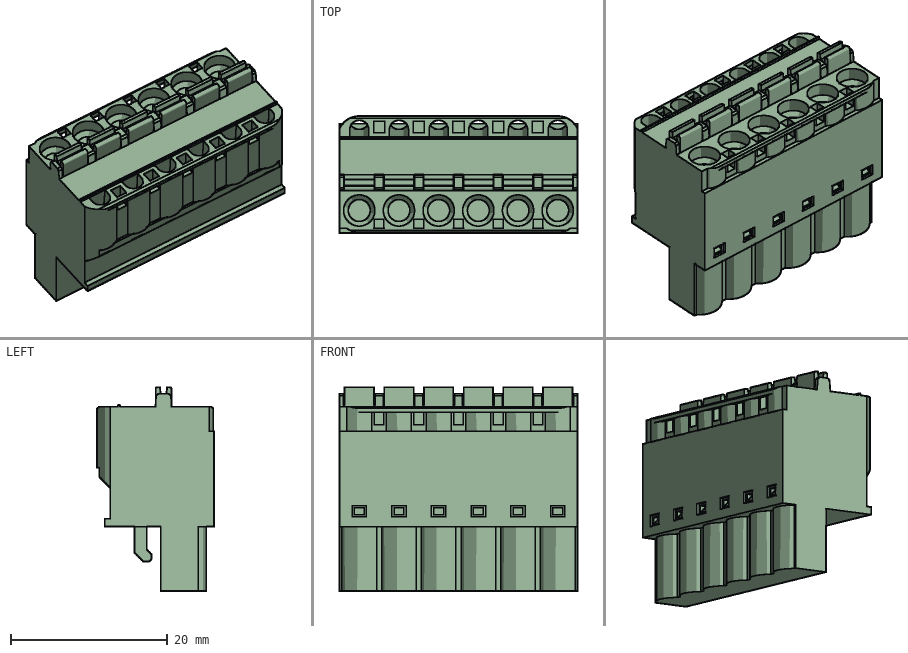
import cadquery as cq
import math


POLE_COUNT = 6
PITCH = 5.08
LENGTH = POLE_COUNT * PITCH
POLE_X = [PITCH * (i + 0.5) for i in range(POLE_COUNT)]
GAP_X = [PITCH * i for i in range(1, POLE_COUNT)]

DEPTH = 15.0
BODY_BOTTOM = 8.25
BODY_TOP = 23.6
BODY_BACK = 13.3

LEDGE_BACK = 14.0
LEDGE_TOP = 9.25

BULGE_BACK = 14.7
BULGE_PLATE_BOTTOM = 15.75
BULGE_SLOPE_TOP = 14.6
BULGE_TOP_CHAMFER = 0.3
BULGE_REACH = DEPTH - BODY_BACK
BULGE_END_RADIUS = (POLE_X[0] ** 2 + BULGE_REACH**2) / (2 * BULGE_REACH)
ARC_MIDDLE_ANGLE = math.asin(POLE_X[0] / BULGE_END_RADIUS) / 2

RIDGE_FRONT = 12.0
RIDGE_BACK = 12.35
RIDGE_HEIGHT = 0.25
RIDGE_CREST_INSET = 0.1

WIRE_RADIUS = 1.23
WIRE_CENTER_Y = 13.2
WIRE_EXIT_SHIFT = 2.2
WIRE_EXIT_Z = BULGE_SLOPE_TOP - (BULGE_BACK - BODY_BACK)

SCREW_DIAMETER = 4.0
SCREW_FLOOR_DIAMETER = 2.8
SCREW_CENTER_Y = 2.9
SCREW_STRAIGHT_DEPTH = 1.7
SCREW_CONE_DEPTH = (SCREW_DIAMETER - SCREW_FLOOR_DIAMETER) / 2

RECESS_DEPTH = 0.6
RECESS_BOTTOM = 20.45
WALL_RADIUS = 2.8
WALL_FRONT = SCREW_CENTER_Y - WALL_RADIUS

BAR_BOTTOM = 22.85
BAR_CHAMFER_Y = 0.28
BAR_CHAMFER_Z = 0.22

POCKET_FLOOR = 21.3
FRONT_POCKET_SIDE = 1.25
FRONT_POCKET_Y = 0.55
REAR_POCKET_SIDE = 1.42
REAR_POCKET_Y = 12.87

WINDOW_Z = 10.2
WINDOW_WIDTH = 1.83
WINDOW_HEIGHT = 1.45
WINDOW_DEPTH = 0.35
WEDGE_WIDTH = 1.25
WEDGE_HEIGHT = 0.9

RAIL_FRONT = 5.45
RAIL_BACK = 7.5
RAIL_MIDDLE = (RAIL_FRONT + RAIL_BACK) / 2
RAIL_TOP = 26.1
TAB_WIDTH = 3.8
TAB_FILLET = 0.28
SLOT_TOP_WIDTH = 0.9
SLOT_FLOOR_WIDTH = 0.7
SPACER_WIDTH = 1.08
SPACER_TOP = 25.25
SPACER_SHOULDER = 25.0
SPACER_FOOT_WIDTH = 2.1
SPACER_SHOULDER_WIDTH = 1.85
SPACER_TOP_WIDTH = 1.3

SKIRT_FRONT = 2.0
SKIRT_BACK = 6.85
SLEEVE_FRONT = 1.0
SLEEVE_WIDTH = 4.42

LATCH_START = PITCH
LATCH_END = LENGTH - PITCH
LATCH_BACK = 10.2
LATCH_FRONT = 8.6
LATCH_TIP_FRONT = 8.0
LATCH_TIP_BOTTOM = 3.75
LATCH_TIP_RADIUS = 0.5
LATCH_BEND_Z = 4.9
LATCH_HOOK_Z = 5.3


def box(x0, x1, y0, y1, z0, z1):
    """Box between two opposite corners."""
    return cq.Workplane("XY").box(x1 - x0, y1 - y0, z1 - z0, centered=False).translate((x0, y0, z0))


def side_profile(x0, x1, points):
    """Closed (Y, Z) outline extruded from x0 to x1."""
    return cq.Workplane("YZ", origin=(x0, 0, 0)).polyline(points).close().extrude(x1 - x0)


def cylinder(x, y, radius, z0, z1):
    return cq.Workplane("XY", origin=(x, y, z0)).circle(radius).extrude(z1 - z0)


def housing():
    body = box(0, LENGTH, 0, BODY_BACK, BODY_BOTTOM, BODY_TOP)
    ledge = box(0, LENGTH, 0, LEDGE_BACK, BODY_BOTTOM, LEDGE_TOP)
    return body.union(ledge)


def wire_bulge():
    """Plate with rounded ends, stepped and sloped below and chamfered along its top."""
    end_x = POLE_X[0]
    center_y = DEPTH - BULGE_END_RADIUS
    middle_x = BULGE_END_RADIUS * math.sin(ARC_MIDDLE_ANGLE)
    middle_y = center_y + BULGE_END_RADIUS * math.cos(ARC_MIDDLE_ANGLE)
    front = RIDGE_BACK
    plan = (
        cq.Workplane("XY", origin=(0, 0, WIRE_EXIT_Z))
        .moveTo(0, front)
        .lineTo(0, BODY_BACK)
        .threePointArc((end_x - middle_x, middle_y), (end_x, DEPTH))
        .lineTo(LENGTH - end_x, DEPTH)
        .threePointArc((LENGTH - end_x + middle_x, middle_y), (LENGTH, BODY_BACK))
        .lineTo(LENGTH, front)
        .close()
        .extrude(BODY_TOP - WIRE_EXIT_Z)
    )
    section = side_profile(
        0,
        LENGTH,
        [
            (front, WIRE_EXIT_Z),
            (BODY_BACK, WIRE_EXIT_Z),
            (BULGE_BACK, BULGE_SLOPE_TOP),
            (BULGE_BACK, BULGE_PLATE_BOTTOM),
            (DEPTH, BULGE_PLATE_BOTTOM),
            (DEPTH, BODY_TOP - BULGE_TOP_CHAMFER),
            (DEPTH - BULGE_TOP_CHAMFER, BODY_TOP),
            (front, BODY_TOP),
        ],
    )
    return plan.intersect(section)


def ridge():
    return side_profile(
        0,
        LENGTH,
        [
            (RIDGE_FRONT, BODY_TOP),
            (RIDGE_FRONT + RIDGE_CREST_INSET, BODY_TOP + RIDGE_HEIGHT),
            (RIDGE_BACK - RIDGE_CREST_INSET, BODY_TOP + RIDGE_HEIGHT),
            (RIDGE_BACK, BODY_TOP),
        ],
    )


def wire_entry(x):
    """Hole with an upright rear wall and a trough-shaped front wall leaning back to the exit."""
    height = BODY_TOP - WIRE_EXIT_Z
    upright = cylinder(x, WIRE_CENTER_Y, WIRE_RADIUS, WIRE_EXIT_Z, BODY_TOP).union(
        box(x - WIRE_RADIUS, x + WIRE_RADIUS, RIDGE_BACK, WIRE_CENTER_Y, WIRE_EXIT_Z, BODY_TOP)
    )
    upright = upright.intersect(
        box(x - PITCH, x + PITCH, RIDGE_BACK, DEPTH, WIRE_EXIT_Z, BODY_TOP)
    )
    lean = math.degrees(math.atan2(WIRE_EXIT_SHIFT, height))
    reach = height + DEPTH
    trough = cylinder(0, 0, WIRE_RADIUS, -reach, reach).union(
        box(-WIRE_RADIUS, WIRE_RADIUS, 0, DEPTH, -reach, reach)
    )
    trough = trough.rotate((0, 0, 0), (1, 0, 0), lean).translate((x, RIDGE_BACK, BODY_TOP))
    return upright.intersect(trough)


def screw_hole(x):
    """Round hole closed by a conical seat with a flat floor."""
    bottom = SCREW_STRAIGHT_DEPTH + SCREW_CONE_DEPTH
    return (
        cq.Workplane("XZ")
        .polyline(
            [
                (0, 0),
                (SCREW_DIAMETER / 2, 0),
                (SCREW_DIAMETER / 2, -SCREW_STRAIGHT_DEPTH),
                (SCREW_FLOOR_DIAMETER / 2, -bottom),
                (0, -bottom),
            ]
        )
        .close()
        .revolve(360, (0, 0, 0), (0, 1, 0))
        .translate((x, SCREW_CENTER_Y, BODY_TOP))
    )


def front_recess():
    """Material removed between the front face and the round walls and bar."""
    recess = box(0, LENGTH, 0, RECESS_DEPTH, RECESS_BOTTOM, BODY_TOP)
    for x in POLE_X:
        recess = recess.cut(cylinder(x, SCREW_CENTER_Y, WALL_RADIUS, RECESS_BOTTOM, BODY_TOP))
    recess = recess.cut(box(POLE_X[0], POLE_X[-1], WALL_FRONT, RECESS_DEPTH, BAR_BOTTOM, BODY_TOP))
    chamfer = side_profile(
        0,
        LENGTH,
        [
            (WALL_FRONT, BODY_TOP - BAR_CHAMFER_Z),
            (WALL_FRONT + BAR_CHAMFER_Y, BODY_TOP),
            (WALL_FRONT, BODY_TOP),
        ],
    )
    return recess.union(chamfer)


def rear_recess():
    """Material removed between round walls behind the wire entries, below the top rim."""
    center_y = DEPTH - BULGE_END_RADIUS
    back_wall = DEPTH - RECESS_DEPTH
    recess = box(POLE_X[0], POLE_X[-1], back_wall, DEPTH, BULGE_PLATE_BOTTOM, BAR_BOTTOM)
    for x in POLE_X:
        recess = recess.cut(cylinder(x, center_y, BULGE_END_RADIUS, BULGE_PLATE_BOTTOM, BAR_BOTTOM))
    return recess


def front_pocket(x):
    half = FRONT_POCKET_SIDE / 2
    back = FRONT_POCKET_Y + FRONT_POCKET_SIDE
    return box(x - half, x + half, RECESS_DEPTH, back, POCKET_FLOOR, BODY_TOP)


def rear_pocket(x):
    """Square pocket that also opens through the back below the rim."""
    half = REAR_POCKET_SIDE / 2
    back = REAR_POCKET_Y + REAR_POCKET_SIDE
    well = box(x - half, x + half, REAR_POCKET_Y, back, POCKET_FLOOR, BODY_TOP)
    opening = box(x - half, x + half, REAR_POCKET_Y, DEPTH, POCKET_FLOOR, BAR_BOTTOM)
    return well.union(opening)


def test_window(x):
    """Shallow rectangle with a smaller wedge-shaped pocket sloping up behind it."""
    half = WINDOW_WIDTH / 2
    bottom = WINDOW_Z - WINDOW_HEIGHT / 2
    frame = box(x - half, x + half, 0, WINDOW_DEPTH, bottom, bottom + WINDOW_HEIGHT)
    wedge_bottom = WINDOW_Z - WEDGE_HEIGHT / 2
    wedge_top = wedge_bottom + WEDGE_HEIGHT
    wedge = side_profile(
        x - WEDGE_WIDTH / 2,
        x + WEDGE_WIDTH / 2,
        [
            (0, wedge_bottom),
            (WINDOW_DEPTH, wedge_bottom),
            (WINDOW_DEPTH + WEDGE_HEIGHT, wedge_top),
            (0, wedge_top),
        ],
    )
    return frame.union(wedge)


def marker_tab(x):
    """Pair of upright fins with a tapered slot between them."""
    slot_top = SLOT_TOP_WIDTH / 2
    slot_floor = SLOT_FLOOR_WIDTH / 2
    tab = side_profile(
        x - TAB_WIDTH / 2,
        x + TAB_WIDTH / 2,
        [
            (RAIL_FRONT, BODY_TOP),
            (RAIL_FRONT, RAIL_TOP),
            (RAIL_MIDDLE - slot_top, RAIL_TOP),
            (RAIL_MIDDLE - slot_floor, SPACER_TOP),
            (RAIL_MIDDLE + slot_floor, SPACER_TOP),
            (RAIL_MIDDLE + slot_top, RAIL_TOP),
            (RAIL_BACK, RAIL_TOP),
            (RAIL_BACK, BODY_TOP),
        ],
    )
    front_edge = tab.faces("<Y").edges(">Z")
    back_edge = tab.faces(">Y").edges(">Z")
    return front_edge.add(back_edge).fillet(TAB_FILLET)


def rail_spacer(x0, x1):
    """Lower rail piece between tabs, with sloped sides and chamfered shoulders."""
    foot = SPACER_FOOT_WIDTH / 2
    shoulder = SPACER_SHOULDER_WIDTH / 2
    top = SPACER_TOP_WIDTH / 2
    return side_profile(
        x0,
        x1,
        [
            (RAIL_MIDDLE - foot, BODY_TOP),
            (RAIL_MIDDLE - shoulder, SPACER_SHOULDER),
            (RAIL_MIDDLE - top, SPACER_TOP),
            (RAIL_MIDDLE + top, SPACER_TOP),
            (RAIL_MIDDLE + shoulder, SPACER_SHOULDER),
            (RAIL_MIDDLE + foot, BODY_TOP),
        ],
    )


def marker_rail():
    half = SPACER_WIDTH / 2
    rail = rail_spacer(0, half).union(rail_spacer(LENGTH - half, LENGTH))
    for x in GAP_X:
        rail = rail.union(rail_spacer(x - half, x + half))
    for x in POLE_X:
        rail = rail.union(marker_tab(x))
    return rail


def plug_skirt():
    """Block under the housing with a round sleeve front at each pole."""
    skirt = box(0, LENGTH, SKIRT_FRONT, SKIRT_BACK, 0, BODY_BOTTOM)
    half = SLEEVE_WIDTH / 2
    for x in POLE_X:
        sleeve = (
            cq.Workplane("XY")
            .moveTo(x - half, SKIRT_FRONT)
            .threePointArc((x, SLEEVE_FRONT), (x + half, SKIRT_FRONT))
            .lineTo(x + half, SKIRT_BACK)
            .lineTo(x - half, SKIRT_BACK)
            .close()
            .extrude(BODY_BOTTOM)
        )
        skirt = skirt.union(sleeve)
    return skirt


def latch():
    """Strip hanging behind the skirt, its rounded tip hooked toward the front."""
    tip_back = LATCH_BACK - (LATCH_BEND_Z - LATCH_TIP_BOTTOM)
    tip_z = LATCH_HOOK_Z - (LATCH_FRONT - LATCH_TIP_FRONT)
    strip = side_profile(
        LATCH_START,
        LATCH_END,
        [
            (LATCH_BACK, BODY_BOTTOM),
            (LATCH_BACK, LATCH_BEND_Z),
            (tip_back, LATCH_TIP_BOTTOM),
            (LATCH_TIP_FRONT, LATCH_TIP_BOTTOM),
            (LATCH_TIP_FRONT, tip_z),
            (LATCH_FRONT, LATCH_HOOK_Z),
            (LATCH_FRONT, BODY_BOTTOM),
        ],
    )
    return strip.edges("<Z and <Y").fillet(LATCH_TIP_RADIUS)


result = housing().union(wire_bulge())
result = result.cut(front_recess()).cut(rear_recess())
for pole_x in POLE_X:
    result = result.cut(screw_hole(pole_x))
    result = result.cut(wire_entry(pole_x))
    result = result.cut(test_window(pole_x))
for gap_x in GAP_X:
    result = result.cut(front_pocket(gap_x))
    result = result.cut(rear_pocket(gap_x))
result = result.union(ridge()).union(marker_rail())
result = result.union(plug_skirt()).union(latch())